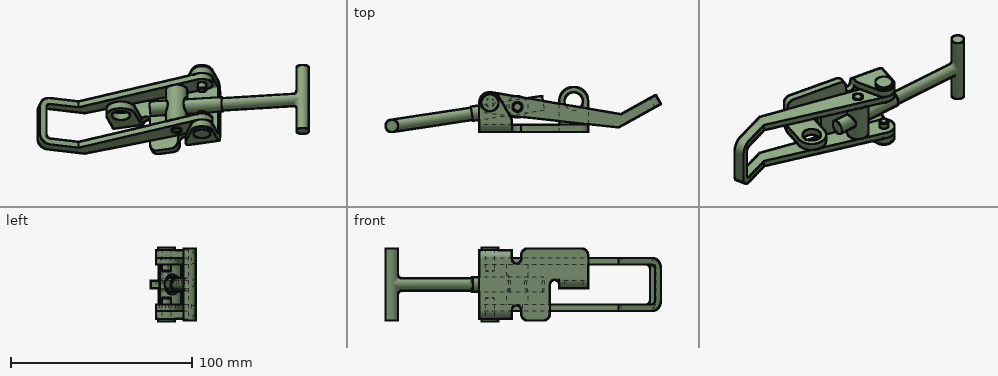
import cadquery as cq
import math

sheet = 4.3
bend_outer_radius = 5.0
bend_inner_radius = bend_outer_radius - sheet
bracket_left = 51.7
arm_length = 18.1
arm_right = bracket_left + arm_length
channel_height = 38.0
channel_inner_half = channel_height / 2 - sheet
arm_end_radius = 6.0
arm_foot_y = 7.1
arm_foot_radius = 3.8
plate_height = 40.0
plate_corner_radius = 4.0
relief_width = 5.0
relief_radius = relief_width / 2
plate_left = arm_right + relief_width

eye_outer_radius = 8.0
eye_hole_radius = 5.0
eye_left = 95.8
eye_center_x = eye_left + eye_outer_radius
eye_center_y = 17.0
plate_right = eye_left + 2 * eye_outer_radius
hook_right = eye_left - relief_width
fold_z = bend_outer_radius - sheet / 2

pivot_x = bracket_left + arm_end_radius
pivot_y = 16.3
rivet_head_radius = 4.7
rivet_head_height = 1.5
rivet_shank_radius = 2.5
rivet_tip_z = 7.1
rivet_tip_chamfer = 0.5

lever_bar = 3.8
lever_outer_half = channel_inner_half
lever_inner_half = lever_outer_half - lever_bar
lever_right = 152.0
elbow_lower = (128.6, 2.6)
elbow_upper = (130.0, 10.0)
grip_angle = 29.0
grip_outer_radius = 6.0
grip_inner_radius = grip_outer_radius - lever_bar

trunnion_x = 72.8
trunnion_y = 14.0
trunnion_radius = 6.0
journal_radius = 2.7
journal_chamfer = 0.5
countersink_radius = 5.5

bar_radius = 3.5
bar_length = plate_height
stem_radius = bar_radius
stem_length = 44.7
thread_diameter = 8.0
thread_radius = thread_diameter / 2
thread_length = 39.8
weld_radius = 2.0
bolt_angle = math.degrees(math.atan2(trunnion_y - bar_radius, trunnion_x - bar_radius))


def block(x0, x1, y0, y1, z0, z1):
    return cq.Workplane("XY").box(x1 - x0, y1 - y0, z1 - z0, centered=False).translate((x0, y0, z0))


def rod(x, y, radius, z0, z1):
    """Cylinder along Z."""
    return cq.Workplane("XY", origin=(x, y, z0)).circle(radius).extrude(z1 - z0)


def rod_along_bolt(radius, start, end):
    """Cylinder along X, with distances measured from the handle bar axis."""
    return cq.Workplane("YZ", origin=(start, 0, 0)).circle(radius).extrude(end - start)


def place_on_bolt_axis(shape):
    """Tilt a shape built along X and move its origin to the handle bar axis."""
    return shape.rotate((0, 0, 0), (0, 0, 1), bolt_angle).translate((bar_radius, bar_radius, 0))


def tangent_point(center, radius, point, side):
    """Point where the line from an outside point touches a circle; side +1 is left of the line
    from the centre to the point, -1 is right of it."""
    dx = point[0] - center[0]
    dy = point[1] - center[1]
    angle = math.atan2(dy, dx) + side * math.acos(radius / math.hypot(dx, dy))
    return (center[0] + radius * math.cos(angle), center[1] + radius * math.sin(angle))


def bracket_channel():
    """U channel with two arms, trimmed to the sloping arm outline."""
    half = channel_height / 2
    arm_top = pivot_y + arm_end_radius
    outside = block(bracket_left, arm_right, 0, arm_top, -half, half)
    outside = outside.edges("|X and <Y").fillet(bend_outer_radius)
    inside = block(bracket_left, arm_right, sheet, arm_top, -channel_inner_half, channel_inner_half)
    inside = inside.edges("|X and <Y").fillet(bend_inner_radius)

    foot = (arm_right, arm_foot_y)
    slope_top = tangent_point((pivot_x, pivot_y), arm_end_radius, foot, 1)
    outline = (
        cq.Workplane("XY", origin=(0, 0, -half))
        .moveTo(bracket_left, 0)
        .lineTo(arm_right, 0)
        .lineTo(*foot)
        .lineTo(*slope_top)
        .threePointArc((pivot_x, arm_top), (bracket_left, pivot_y))
        .close()
        .extrude(channel_height)
    )
    outline = outline.edges(cq.selectors.NearestToPointSelector((*foot, 0))).fillet(arm_foot_radius)
    return outside.cut(inside).intersect(outline)


def bracket_plate():
    """Flat hook-shaped plate with a web that runs back to the channel."""
    half = plate_height / 2
    upper = block(plate_left, plate_right, 0, sheet, fold_z, half)
    upper = upper.edges("|Y and >Z").fillet(plate_corner_radius)
    lower = block(plate_left, hook_right, 0, sheet, -half, fold_z)
    lower = lower.edges("|Y and <Z").fillet(plate_corner_radius)
    web_half = half - plate_corner_radius
    web = block(arm_right, plate_left, 0, sheet, -web_half, web_half)
    bridge = block(hook_right, eye_left, 0, sheet, 0, fold_z)
    return upper.union(lower).union(web).union(bridge)


def relief_notches():
    """Round-ended slots at the ends of the three bends."""
    bend_start = channel_height / 2 - bend_outer_radius
    arm_notch_x = arm_right + relief_radius
    eye_notch_x = hook_right + relief_radius
    reach = plate_height / 2
    notches = cq.Workplane("XY")
    for x, z, direction in (
        (arm_notch_x, bend_start, 1),
        (arm_notch_x, -bend_start, -1),
        (eye_notch_x, 0, -1),
    ):
        end = cq.Workplane("XZ", origin=(x, 0, z)).circle(relief_radius).extrude(-sheet)
        low, high = sorted((z, z + direction * reach))
        slot = block(x - relief_radius, x + relief_radius, 0, sheet, low, high)
        notches = notches.add(end.union(slot))
    return notches.combine()


def padlock_eye():
    """Rounded tab folded from the plate, centred on Z = 0."""
    half = sheet / 2
    eye_top = eye_center_y + eye_outer_radius
    outside = block(eye_left, plate_right, 0, eye_top, -half, plate_height / 2)
    outside = outside.edges("|X and <Y and <Z").fillet(bend_outer_radius)
    inside = block(eye_left, plate_right, sheet, eye_top, half, plate_height / 2)
    inside = inside.edges("|X and <Y and <Z").fillet(bend_inner_radius)
    outline = block(eye_left, plate_right, 0, eye_center_y, -half, fold_z)
    outline = outline.union(rod(eye_center_x, eye_center_y, eye_outer_radius, -half, fold_z))
    hole = rod(eye_center_x, eye_center_y, eye_hole_radius, -half, fold_z)
    return outside.cut(inside).intersect(outline).cut(hole)


def make_bracket():
    body = bracket_plate().cut(relief_notches()).union(bracket_channel()).union(padlock_eye())
    half = channel_height / 2
    return body.cut(rod(pivot_x, pivot_y, rivet_shank_radius, -half, half))


def make_lever():
    """Cranked frame: the side outline extruded to full width, then hollowed between the bars."""
    along = (math.cos(math.radians(grip_angle)), math.sin(math.radians(grip_angle)))
    across = (-along[1], along[0])
    elbow_dx = elbow_upper[0] - elbow_lower[0]
    elbow_dy = elbow_upper[1] - elbow_lower[1]
    grip_depth = elbow_dx * across[0] + elbow_dy * across[1]
    grip_length = (lever_right - elbow_lower[0]) / along[0]
    tip_lower = (lever_right, elbow_lower[1] + grip_length * along[1])
    tip_upper = (tip_lower[0] + grip_depth * across[0], tip_lower[1] + grip_depth * across[1])

    pivot = (pivot_x, pivot_y)
    top_tangent = tangent_point(pivot, arm_end_radius, elbow_upper, 1)
    bottom_tangent = tangent_point(pivot, arm_end_radius, elbow_lower, -1)
    frame = (
        cq.Workplane("XY", origin=(0, 0, -lever_outer_half))
        .moveTo(*bottom_tangent)
        .lineTo(*elbow_lower)
        .lineTo(*tip_lower)
        .lineTo(*tip_upper)
        .lineTo(*elbow_upper)
        .lineTo(*top_tangent)
        .threePointArc((pivot_x - arm_end_radius, pivot_y), bottom_tangent)
        .close()
        .extrude(2 * lever_outer_half)
    )
    tip_middle = ((tip_lower[0] + tip_upper[0]) / 2, (tip_lower[1] + tip_upper[1]) / 2)
    for z in (-lever_outer_half, lever_outer_half):
        corner = cq.selectors.NearestToPointSelector((*tip_middle, z))
        frame = frame.edges(corner).fillet(grip_outer_radius)

    inner_length = grip_length - lever_bar
    grip_opening = block(0, inner_length, -grip_depth, 2 * grip_depth, -lever_inner_half, lever_inner_half)
    grip_opening = grip_opening.edges("|Y and >X").fillet(grip_inner_radius)
    grip_opening = grip_opening.rotate((0, 0, 0), (0, 0, 1), grip_angle).translate((*elbow_lower, 0))
    bar_opening = block(
        pivot_x - arm_end_radius,
        elbow_upper[0],
        0,
        pivot_y + arm_end_radius,
        -lever_inner_half,
        lever_inner_half,
    )
    frame = frame.cut(grip_opening).cut(bar_opening)

    for x, y, radius in (
        (pivot_x, pivot_y, rivet_shank_radius),
        (trunnion_x, trunnion_y, journal_radius),
    ):
        frame = frame.cut(rod(x, y, radius, -lever_outer_half, lever_outer_half))
    return frame


def make_rivet(side):
    """Headed pin through one arm and one lever bar; side is +1 for the upper one, -1 for the lower."""
    seat = channel_height / 2
    rivet = rod(pivot_x, pivot_y, rivet_shank_radius, rivet_tip_z, seat)
    rivet = rivet.faces("<Z").chamfer(rivet_tip_chamfer)
    rivet = rivet.union(rod(pivot_x, pivot_y, rivet_head_radius, seat, seat + rivet_head_height))
    return rivet if side > 0 else rivet.mirror("XY")


def make_trunnion():
    journals = rod(trunnion_x, trunnion_y, journal_radius, -lever_outer_half, lever_outer_half)
    journals = journals.faces("<Z or >Z").chamfer(journal_chamfer)
    barrel = rod(trunnion_x, trunnion_y, trunnion_radius, -lever_inner_half, lever_inner_half)

    center_distance = math.hypot(trunnion_x - bar_radius, trunnion_y - bar_radius)
    entry = center_distance - trunnion_radius
    hole = rod_along_bolt(thread_radius, entry, center_distance + trunnion_radius)
    countersink = cq.Solid.makeCone(
        countersink_radius,
        thread_radius,
        countersink_radius - thread_radius,
        pnt=cq.Vector(entry, 0, 0),
        dir=cq.Vector(1, 0, 0),
    )
    return barrel.union(journals).cut(place_on_bolt_axis(hole.union(cq.Workplane(countersink))))


def make_t_bolt():
    bar = cq.Workplane("XY").circle(bar_radius).extrude(bar_length / 2, both=True)
    bolt = bar.union(rod_along_bolt(stem_radius, 0, stem_length))
    reach = bar_radius + weld_radius
    joint = cq.selectors.BoxSelector((0, -reach, -reach), (reach, reach, reach))
    bolt = bolt.edges(joint).fillet(weld_radius)
    bolt = bolt.union(rod_along_bolt(thread_radius, stem_length, stem_length + thread_length))
    return place_on_bolt_axis(bolt)


bracket = make_bracket()
lever = make_lever()
rivets = [make_rivet(side) for side in (1, -1)]
trunnion = make_trunnion()
t_bolt = make_t_bolt()

result = cq.Compound.makeCompound(
    [
        bracket.val(),
        lever.val(),
        *[rivet.val() for rivet in rivets],
        trunnion.val(),
        t_bolt.val(),
    ]
)